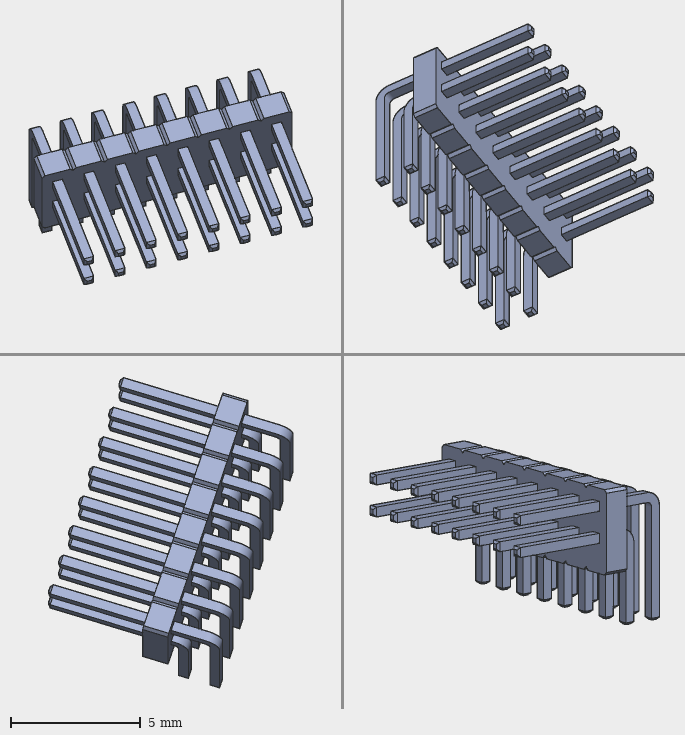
import cadquery as cq

PITCH = 1.27
COLUMNS = 8

BODY_LENGTH = COLUMNS * PITCH
BODY_THICKNESS = 1.02
BODY_HEIGHT = 3.38
BODY_TOP = 5.63
BODY_BACK = 1.96
BODY_BOTTOM = BODY_TOP - BODY_HEIGHT
CORNER_CHAMFER = 0.12

PIN_WIDTH = 0.4
PIN_END = 6.97
INNER_BEND_RADIUS = 0.2
OUTER_BEND_RADIUS = INNER_BEND_RADIUS + PIN_WIDTH
UPPER_PIN_TOP = 5.11
TIP_CHAMFER = 0.1


def body_block(y_center):
    """One column of the body, chamfered along its four X edges."""
    return (
        cq.Workplane("XY")
        .box(BODY_THICKNESS, PITCH, BODY_HEIGHT, centered=(False, True, False))
        .edges("|X")
        .chamfer(CORNER_CHAMFER)
        .translate((BODY_BACK, y_center, BODY_BOTTOM))
    )


def bent_pin(leg_x, top_z, y_center):
    """Square pin with a vertical leg, a 90 degree bend and a contact along +X."""
    bend_x = leg_x + OUTER_BEND_RADIUS
    bend_z = top_z - OUTER_BEND_RADIUS
    return (
        cq.Workplane("XZ")
        .moveTo(leg_x, 0)
        .lineTo(leg_x, bend_z)
        .radiusArc((bend_x, top_z), OUTER_BEND_RADIUS)
        .lineTo(PIN_END, top_z)
        .lineTo(PIN_END, top_z - PIN_WIDTH)
        .lineTo(bend_x, top_z - PIN_WIDTH)
        .radiusArc((leg_x + PIN_WIDTH, bend_z), -INNER_BEND_RADIUS)
        .lineTo(leg_x + PIN_WIDTH, 0)
        .close()
        .extrude(PIN_WIDTH / 2, both=True)
        .faces("<Z or >X")
        .chamfer(TIP_CHAMFER)
        .translate((0, y_center, 0))
    )


column_centers = [(i + 0.5) * PITCH - BODY_LENGTH / 2 for i in range(COLUMNS)]

result = cq.Workplane("XY")
for y in column_centers:
    result = result.union(body_block(y))

for y in column_centers:
    for row in range(2):
        result = result.union(bent_pin(row * PITCH, UPPER_PIN_TOP - row * PITCH, y))